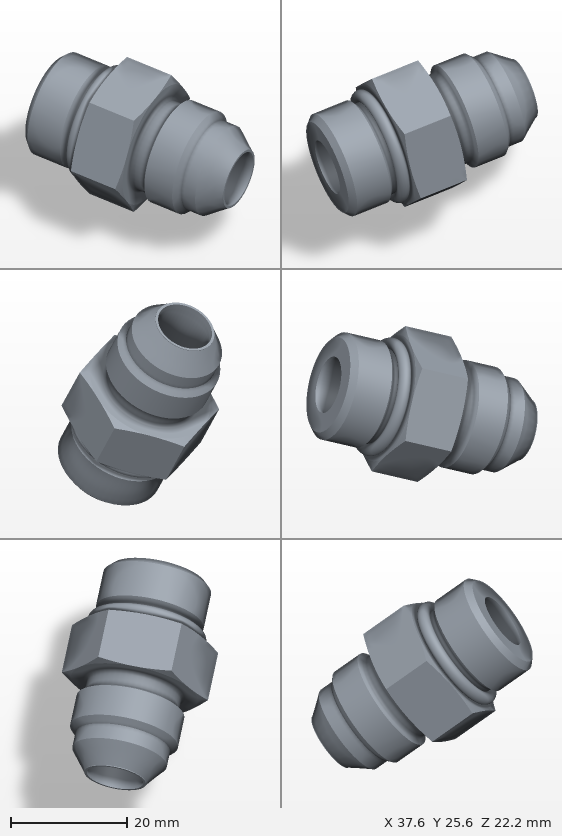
import cadquery as cq
import math

thread_end = 7.5
seal_neck_start = 8.65
hex_start = 11.15
hex_end = 20.9
collar_start = 24.3
collar_end = 29.8
nose_start = 30.95
cone_start = 33.68
cone_end = 37.48
length = 37.6

bore_radius = 4.95
thread_radius = 9.47
seal_neck_radius = 8.42
nose_radius = 8.3
tip_radius = 5.4

thread_chamfer = 1.1
thread_back_angle = math.radians(50)
collar_back_angle = math.radians(60)
neck_fillet = 0.6
hex_chamfer_angle = math.radians(15)

across_flats = 22.2
flat_radius = across_flats / 2
corner_radius = flat_radius / math.cos(math.radians(30))

ring_section_radius = 1.13
ring_outer_radius = 10.4
ring_centre_radius = ring_outer_radius - ring_section_radius
ring_x = hex_start - ring_section_radius


def revolve_about_x(profile):
    """Turn a closed XY profile a full revolution about the X axis."""
    return profile.revolve(360, (0, 0, 0), (1, 0, 0))


def flank_fillet(neck_end, neck_radius, angle, direction):
    """Mid and end points of a fillet rising from a neck until it slopes at the given angle.

    The fillet runs toward +X for direction 1 and toward -X for direction -1.
    """
    def point_at(turn):
        return (
            neck_end + direction * neck_fillet * math.sin(turn),
            neck_radius + neck_fillet * (1 - math.cos(turn)),
        )

    return point_at(angle / 2), point_at(angle)


def make_turned_core():
    """Threaded end, seal neck, rear neck, collar and coned nose as one turned shape."""
    thread_mid, thread_foot = flank_fillet(seal_neck_start, seal_neck_radius, thread_back_angle, -1)

    neck_start = hex_end + neck_fillet
    hex_mid, hex_foot = flank_fillet(neck_start, nose_radius, math.radians(90), -1)

    fillet_rise = neck_fillet * (1 - math.cos(collar_back_angle))
    flank_height = thread_radius - nose_radius - fillet_rise
    flank_length = flank_height / math.tan(collar_back_angle)
    neck_end = collar_start - flank_length - neck_fillet * math.sin(collar_back_angle)
    collar_mid, collar_foot = flank_fillet(neck_end, nose_radius, collar_back_angle, 1)

    profile = (
        cq.Workplane("XY")
        .moveTo(0, 0)
        .lineTo(0, thread_radius - thread_chamfer)
        .lineTo(thread_chamfer, thread_radius)
        .lineTo(thread_end, thread_radius)
        .lineTo(*thread_foot)
        .threePointArc(thread_mid, (seal_neck_start, seal_neck_radius))
        .lineTo(hex_end, seal_neck_radius)
        .lineTo(*hex_foot)
        .threePointArc(hex_mid, (neck_start, nose_radius))
        .lineTo(neck_end, nose_radius)
        .threePointArc(collar_mid, collar_foot)
        .lineTo(collar_start, thread_radius)
        .lineTo(collar_end, thread_radius)
        .lineTo(nose_start, nose_radius)
        .lineTo(cone_start, nose_radius)
        .lineTo(cone_end, tip_radius)
        .lineTo(length, tip_radius)
        .lineTo(length, 0)
        .close()
    )
    return revolve_about_x(profile)


def make_hexagon():
    """Hexagon with corners on the Y axis and conically chamfered ends."""
    prism = (
        cq.Workplane("YZ", origin=(hex_start, 0, 0))
        .polygon(6, 2 * corner_radius)
        .extrude(hex_end - hex_start)
    )
    chamfer_depth = (corner_radius - flat_radius) * math.tan(hex_chamfer_angle)
    envelope = (
        cq.Workplane("XY")
        .moveTo(hex_start, 0)
        .lineTo(hex_start, flat_radius)
        .lineTo(hex_start + chamfer_depth, corner_radius)
        .lineTo(hex_end - chamfer_depth, corner_radius)
        .lineTo(hex_end, flat_radius)
        .lineTo(hex_end, 0)
        .close()
    )
    return prism.intersect(revolve_about_x(envelope))


def make_fitting(seal):
    """Hexagon and turned core joined, bored through and recessed to seat the seal."""
    bore = cq.Workplane("YZ").circle(bore_radius).extrude(length)
    return make_turned_core().union(make_hexagon()).cut(bore).cut(seal)


def make_o_ring():
    """Round-section seal ring around the neck beside the hexagon."""
    section = cq.Workplane("XY").center(ring_x, ring_centre_radius).circle(ring_section_radius)
    return section.revolve(360, (0, -ring_centre_radius, 0), (1, -ring_centre_radius, 0))


o_ring = make_o_ring()
fitting = make_fitting(o_ring)
result = cq.Compound.makeCompound([fitting.solids().val(), o_ring.solids().val()])